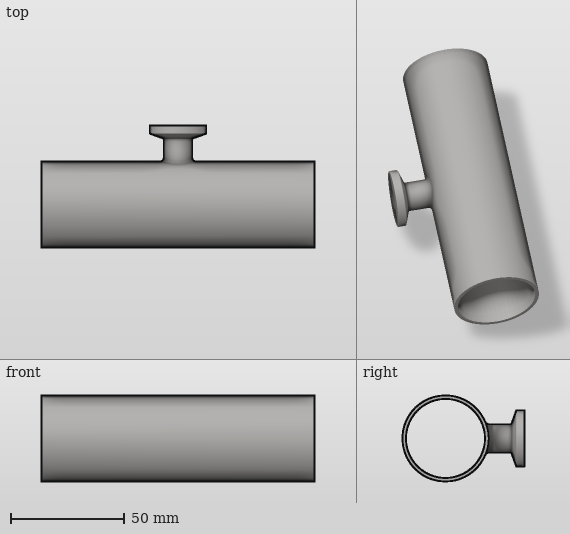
import cadquery as cq
import math

TUBE_LENGTH = 120.65
TUBE_OUTER_RADIUS = 38.1 / 2
TUBE_INNER_RADIUS = 34.8 / 2

OVERALL_WIDTH_Y = 53.98
OUTLET_FACE_Y = OVERALL_WIDTH_Y - TUBE_OUTER_RADIUS
NECK_RADIUS = 12.7 / 2
BORE_RADIUS = 9.4 / 2
FERRULE_START_Y = 22.1
FLANGE_RADIUS = 24.99 / 2
FLANGE_THICKNESS_AT_NECK = 5.9
FLANGE_BACK_ANGLE = 20.0
FLANGE_FACE_ROUND = 0.3
FLANGE_BACK_ROUND = 0.5
FLANGE_ROOT_ROUND = 0.5
WELD_FILLET = 1.5

SELECTION_SLACK = 0.05


def cylinder_along_y(radius, start_y, end_y):
    plane = cq.Workplane("XZ", origin=(0, start_y, 0))
    return plane.circle(radius).extrude(start_y - end_y)


def cylinder_along_tube(radius):
    start = cq.Workplane("YZ", origin=(-TUBE_LENGTH / 2, 0, 0))
    return start.circle(radius).extrude(TUBE_LENGTH)


def make_tube_with_stub():
    """Solid tube with the pulled stub, filleted where the stub leaves the tube."""
    stub = cylinder_along_y(NECK_RADIUS, 0, FERRULE_START_Y)
    joint_half_width = NECK_RADIUS + WELD_FILLET
    joint = cq.selectors.BoxSelector(
        (-joint_half_width, TUBE_INNER_RADIUS / 2, -joint_half_width),
        (joint_half_width, FERRULE_START_Y - WELD_FILLET / 2, joint_half_width),
    )
    tube = cylinder_along_tube(TUBE_OUTER_RADIUS)
    return tube.union(stub).edges(joint).edges("not |Y").fillet(WELD_FILLET)


def round_circle(body, circle_y, circle_radius, round_radius):
    """Round the circular edge about the outlet axis that lies at circle_y."""
    around = cq.selectors.BoxSelector(
        (-circle_radius, circle_y - SELECTION_SLACK, -circle_radius),
        (circle_radius, circle_y + SELECTION_SLACK, circle_radius),
    )
    return body.edges("%CIRCLE").edges(around).fillet(round_radius)


def make_ferrule():
    """Ferrule turned about Y: neck, conical flange back and flat clamp face."""
    neck_end_y = OUTLET_FACE_Y - FLANGE_THICKNESS_AT_NECK
    cone_rise = (FLANGE_RADIUS - NECK_RADIUS) * math.tan(math.radians(FLANGE_BACK_ANGLE))
    rim_start_y = neck_end_y + cone_rise
    ferrule = (
        cq.Workplane("XY")
        .moveTo(0, FERRULE_START_Y)
        .lineTo(NECK_RADIUS, FERRULE_START_Y)
        .lineTo(NECK_RADIUS, neck_end_y)
        .lineTo(FLANGE_RADIUS, rim_start_y)
        .lineTo(FLANGE_RADIUS, OUTLET_FACE_Y)
        .lineTo(0, OUTLET_FACE_Y)
        .close()
        .revolve(360, (0, 0, 0), (0, 1, 0))
    )
    ferrule = round_circle(ferrule, OUTLET_FACE_Y, FLANGE_RADIUS, FLANGE_FACE_ROUND)
    ferrule = round_circle(ferrule, rim_start_y, FLANGE_RADIUS, FLANGE_BACK_ROUND)
    return round_circle(ferrule, neck_end_y, NECK_RADIUS, FLANGE_ROOT_ROUND)


tube_bore = cylinder_along_tube(TUBE_INNER_RADIUS)
outlet_bore = cylinder_along_y(BORE_RADIUS, 0, OUTLET_FACE_Y)
outer_body = make_tube_with_stub().union(make_ferrule(), clean=False)
result = outer_body.cut(tube_bore, clean=False).cut(outlet_bore, clean=False)